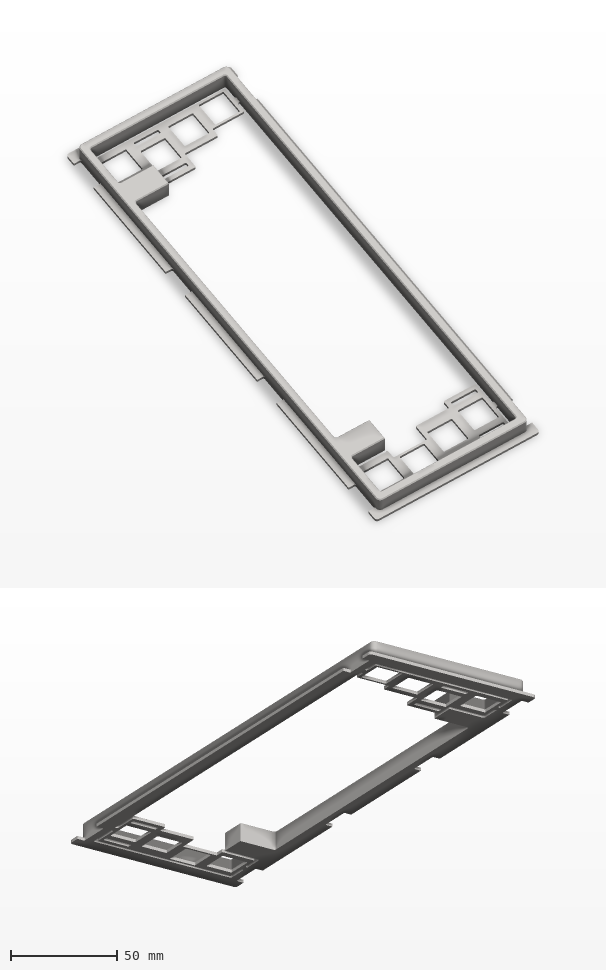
import cadquery as cq
LENGTH = 259.6
DEPTH = 93.0
HEIGHT = 9.5
SHEET = 1.5
LIP_X = 3.6
LIP_Y = 4.0
WALL_X = LENGTH - 2 * LIP_X
WALL_Y = DEPTH - 2 * LIP_Y
WALL_CORNER = 2.3
RIM_CHAMFER = 0.5
OPENING_X = 243.5
OPENING_Y = 77.0
OPENING_CORNER = 1.0

END_TAB_WIDTH = 6.5
END_TAB_CORNER = 1.5
TAB_ROOT = 0.8
FRONT_TABS = 3
FRONT_TAB = 60.2
FRONT_GAP = 16.4
TAB_PITCH = FRONT_TAB + FRONT_GAP
TAB_ROW = FRONT_TABS * FRONT_TAB + (FRONT_TABS - 1) * FRONT_GAP

KEY = 19.0
FIELD_EDGE = 121.5
LEFT_KEYS = (1, 1.25, 1.75, 1.25)
RIGHT_KEYS = (1.75, 1.5, 1, 1.25)
ROWS = len(LEFT_KEYS)
SLOTTED_KEY = 1.75
CUTOUT = 14.0
SLOT_WIDTH = 2.3
SLOT_OFFSET = 11.7
PLATE_Y = 74.3
CLEARANCE = 1.3
PLATE_CORNER = 0.5

LEFT_BRIDGES = (-111.5, -109.3)
RIGHT_BRIDGES = (104.6, 109.3)
BRIDGE_WIDTH = 3.0
BRIDGE_OVERLAP = 1.3
BRIDGE_FLARE = 1.3

BLOCK_INNER = 83.9
BLOCK_OUTER = 97.0
BLOCK_TOP = -19.2


def box(x0, x1, y0, y1, height):
    """Box standing on Z = 0, given by its limits in X and Y."""
    return cq.Workplane("XY").box(x1 - x0, y1 - y0, height, centered=False).translate((x0, y0, 0))


def make_foot():
    """Sheet below the wall, notched between the retaining tabs."""
    foot = cq.Workplane("XY").rect(LENGTH, DEPTH).extrude(SHEET)
    foot = foot.edges("|Z").fillet(END_TAB_CORNER)

    corner_start = LENGTH / 2 - END_TAB_WIDTH
    front_notches = [(-corner_start, -TAB_ROW / 2), (TAB_ROW / 2, corner_start)]
    back_notches = list(front_notches)
    for i in range(1, FRONT_TABS):
        notch_end = i * TAB_PITCH - TAB_ROW / 2
        front_notches.append((notch_end - FRONT_GAP, notch_end))

    for notches, side in ((front_notches, -1), (back_notches, 1)):
        for x0, x1 in notches:
            notch = cq.Workplane("XY").center((x0 + x1) / 2, side * DEPTH / 2)
            notch = notch.rect(x1 - x0, 2 * LIP_Y).extrude(SHEET)
            foot = foot.cut(notch.edges("|Z").fillet(TAB_ROOT))
    return foot


def make_wall():
    """Wall and blocks in one piece, with all their top edges broken."""
    wall = cq.Workplane("XY").rect(WALL_X, WALL_Y).extrude(HEIGHT)
    wall = wall.edges("|Z").fillet(WALL_CORNER).cut(make_opening())
    return wall.faces(">Z").edges().chamfer(RIM_CHAMFER)


def make_opening():
    """Inside of the frame: a rectangle with the two blocks left standing."""
    opening = cq.Workplane("XY").rect(OPENING_X, OPENING_Y).extrude(HEIGHT)
    for x0, x1 in ((-BLOCK_OUTER, -BLOCK_INNER), (BLOCK_INNER, BLOCK_OUTER)):
        opening = opening.cut(box(x0, x1, -OPENING_Y / 2, BLOCK_TOP, HEIGHT))
    wall_corners = opening.edges("|Z and (>Y or <Y)")
    return wall_corners.fillet(OPENING_CORNER)


def plate_outline(key_widths, step_levels):
    """Right-hand plate blank: straight along the wall, stepped on the inside."""
    outer = FIELD_EDGE - CLEARANCE
    levels = [PLATE_Y / 2, *step_levels, -PLATE_Y / 2]
    points = [(outer, -PLATE_Y / 2), (outer, PLATE_Y / 2)]
    for row, width in enumerate(key_widths):
        inner = FIELD_EDGE - width * KEY + CLEARANCE
        points.append((inner, levels[row]))
        points.append((inner, levels[row + 1]))
    blank = cq.Workplane("XY").polyline(points).close().extrude(SHEET)
    return blank.edges("|Z").fillet(PLATE_CORNER)


def key_openings(key_widths):
    """Switch cutouts and stabiliser slots of a right-hand plate."""
    cutouts = []
    slots = []
    for row, width in enumerate(key_widths):
        x = FIELD_EDGE - width * KEY / 2
        y = ((ROWS - 1) / 2 - row) * KEY
        cutouts.append((x, y))
        if width == SLOTTED_KEY:
            slots += [(x - SLOT_OFFSET, y), (x + SLOT_OFFSET, y)]
    openings = cq.Workplane("XY").pushPoints(cutouts).rect(CUTOUT, CUTOUT).extrude(SHEET)
    openings = openings.union(cq.Workplane("XY").pushPoints(slots).rect(SLOT_WIDTH, CUTOUT).extrude(SHEET))
    return openings.edges("|Z").fillet(PLATE_CORNER)


def make_bridge(x, side):
    """Link at x from a plate to the back (side 1) or front (side -1) wall."""
    root = PLATE_Y / 2
    half = BRIDGE_WIDTH / 2
    tip = OPENING_Y / 2 + BRIDGE_OVERLAP
    flare = BRIDGE_FLARE
    sketch = (
        cq.Workplane("XY")
        .moveTo(-half - flare, root)
        .radiusArc((-half, root + flare), -flare)
        .lineTo(-half, tip)
        .lineTo(half, tip)
        .lineTo(half, root + flare)
        .radiusArc((half + flare, root), -flare)
        .close()
    )
    bridge = sketch.extrude(SHEET)
    if side < 0:
        bridge = bridge.mirror("XZ")
    return bridge.translate((x, 0, 0))


def make_plate(key_widths, step_levels):
    return plate_outline(key_widths, step_levels).cut(key_openings(key_widths))


left_plate = make_plate(LEFT_KEYS, (KEY, 0, CLEARANCE - KEY)).mirror("YZ")
right_plate = make_plate(RIGHT_KEYS, (KEY, 0, -KEY))

result = make_foot().cut(make_opening()).union(make_wall())
for plate, bridges in ((left_plate, LEFT_BRIDGES), (right_plate, RIGHT_BRIDGES)):
    result = result.union(plate)
    for bridge_x, side in zip(bridges, (1, -1)):
        result = result.union(make_bridge(bridge_x, side))